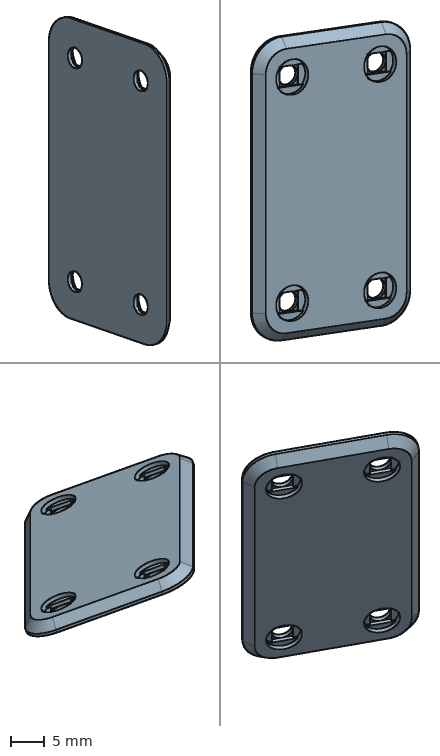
import cadquery as cq

width = 27.0
height = 47.0
thickness = 2.0
corner_radius = 5.0
bevel = 1.5

hole_diameter = 3.2
hole_spacing_x = 15.0
hole_spacing_z = 35.0
counterbore_diameter = 5.5
counterbore_depth = 0.7
step_height = 0.3

counterbore_start = thickness - counterbore_depth
slot_start = counterbore_start - step_height
square_start = slot_start - step_height


def section_at(depth):
    """Sketch plane parallel to the front face, at the given depth behind it."""
    return cq.Workplane("XZ", origin=(0, depth, 0))


def make_plate():
    """Rounded rectangle with its back edge bevelled all around."""
    plate = section_at(0).rect(width, height).extrude(-thickness)
    plate = plate.edges("|Y").fillet(corner_radius)
    return plate.faces(">Y").chamfer(bevel)


def make_hole_cutter():
    """One stepped mounting hole, centred on the Y axis."""
    bore = section_at(0).circle(hole_diameter / 2).extrude(-thickness)
    square = section_at(square_start).rect(hole_diameter, hole_diameter).extrude(-step_height)
    slot_blank = section_at(slot_start).rect(counterbore_diameter, hole_diameter).extrude(-step_height)
    slot_limit = section_at(slot_start).circle(counterbore_diameter / 2).extrude(-step_height)
    slot = slot_blank.intersect(slot_limit)
    counterbore = section_at(counterbore_start).circle(counterbore_diameter / 2).extrude(-counterbore_depth)
    return bore.union(square).union(slot).union(counterbore)


def cut_mounting_holes(plate):
    """Cut the stepped hole at the four corners of a centred rectangle."""
    cutter = make_hole_cutter()
    for x in (-hole_spacing_x / 2, hole_spacing_x / 2):
        for z in (-hole_spacing_z / 2, hole_spacing_z / 2):
            plate = plate.cut(cutter.translate((x, 0, z)))
    return plate


result = cut_mounting_holes(make_plate())